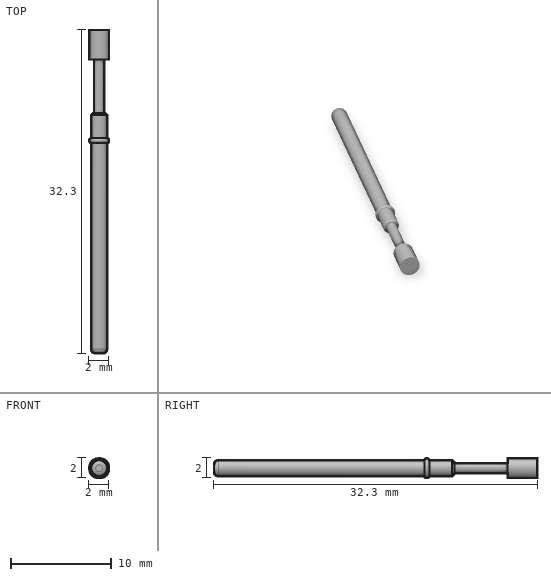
import cadquery as cq

total_length = 32.3
head_radius = 1.0
head_length = 2.97
plunger_radius = 0.52
barrel_radius = 0.8
barrel_length = 24.0
barrel_chamfer = 0.21
ring_radius = head_radius
ring_half_width = 0.25
ring_distance = 11.05
tip_fillet = 0.45

head_end = total_length / 2
tip_end = -total_length / 2
head_back = head_end - head_length
barrel_mouth = tip_end + barrel_length
ring_center = head_end - ring_distance


def make_barrel():
    """Cylinder with a rounded closed tip and a chamfered mouth."""
    barrel = cq.Workplane("XZ", origin=(0, tip_end, 0)).circle(barrel_radius).extrude(-barrel_length)
    barrel = barrel.faces("<Y").edges().fillet(tip_fillet)
    return barrel.faces(">Y").edges().chamfer(barrel_chamfer)


def make_ring():
    """Round press ring: a solid of revolution with a rounded rim around the barrel."""
    return (
        cq.Workplane("XY")
        .moveTo(0, ring_center - ring_half_width)
        .lineTo(barrel_radius, ring_center - ring_half_width)
        .threePointArc((ring_radius, ring_center), (barrel_radius, ring_center + ring_half_width))
        .lineTo(0, ring_center + ring_half_width)
        .close()
        .revolve(360, (0, 0, 0), (0, 1, 0))
    )


def make_plunger():
    """Thin stem that leaves the barrel mouth and carries the flat-faced head."""
    stem_length = head_back - barrel_mouth
    stem = cq.Workplane("XZ", origin=(0, barrel_mouth, 0)).circle(plunger_radius).extrude(-stem_length)
    head = cq.Workplane("XZ", origin=(0, head_back, 0)).circle(head_radius).extrude(-head_length)
    return stem.union(head)


result = make_barrel().union(make_ring()).union(make_plunger())